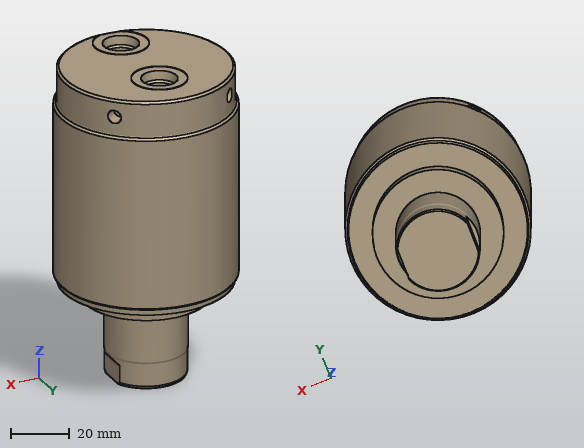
import cadquery as cq
import math

total_height = 114.3
body_radius = 31.6
rim_radius = 30.4
flange_radius = 22.3
shank_radius = 14.4
tip_radius = 14.2
tip_top = 9.3
shank_bottom = 10.1
flange_bottom = 29.3
rim_bottom = 35.0
body_bottom = 37.0
body_top = 101.2
body_chamfer = 0.8
lid_chamfer = 0.8
tip_chamfer_width = 0.5
tip_chamfer_height = 1.0

flat_half_width = 12.7
flat_top = 7.3

port_centers_y = (11.1, -20.6)
spot_face_radius = 9.6
spot_face_depth = 0.2
port_mouth_radius = 6.3
port_seat_radius = 5.8
port_depth = 3.4
port_cone_height = 0.7
drill_radius = 5.0
drill_depth = 13.7

spanner_hole_count = 4
spanner_hole_radius = 2.4
spanner_hole_depth = 5.7
spanner_hole_height = 108.0


def make_body():
    """Revolve the stepped outline about Z."""
    shoulder_radius = body_radius - body_chamfer
    root_radius = shoulder_radius - rim_radius
    root_middle = (1 - math.sqrt(0.5)) * root_radius
    return (
        cq.Workplane("XZ")
        .moveTo(0, 0)
        .lineTo(tip_radius - tip_chamfer_width, 0)
        .lineTo(tip_radius, tip_chamfer_height)
        .lineTo(tip_radius, tip_top)
        .lineTo(shank_radius, shank_bottom)
        .lineTo(shank_radius, flange_bottom)
        .lineTo(flange_radius, flange_bottom)
        .lineTo(flange_radius, rim_bottom)
        .lineTo(rim_radius, rim_bottom)
        .lineTo(rim_radius, body_bottom - root_radius)
        .threePointArc(
            (rim_radius + root_middle, body_bottom - root_middle),
            (shoulder_radius, body_bottom),
        )
        .lineTo(body_radius, body_bottom + body_chamfer)
        .lineTo(body_radius, body_top - body_chamfer)
        .lineTo(shoulder_radius, body_top)
        .threePointArc(
            (rim_radius + root_middle, body_top + root_middle),
            (rim_radius, body_top + root_radius),
        )
        .lineTo(rim_radius, total_height - lid_chamfer)
        .lineTo(rim_radius - lid_chamfer, total_height)
        .lineTo(0, total_height)
        .close()
        .revolve(360, (0, 0, 0), (0, 1, 0))
    )


def make_flat_cutter(side):
    """Block removed beside one flat; its upper face slopes outward at 45 degrees."""
    reach = shank_radius - flat_half_width
    outer = side * shank_radius
    inner = side * flat_half_width
    return (
        cq.Workplane("XZ")
        .polyline([(inner, 0), (outer, 0), (outer, flat_top + reach), (inner, flat_top)])
        .close()
        .extrude(shank_radius, both=True)
    )


def make_port_cutter(center_y):
    """Spot face, tapered bore, conical step and blind drilling, revolved about the port axis."""
    cone_top = -port_depth
    cone_bottom = cone_top - port_cone_height
    return (
        cq.Workplane("XZ")
        .polyline([
            (0, 0),
            (spot_face_radius, 0),
            (spot_face_radius, -spot_face_depth),
            (port_mouth_radius, -spot_face_depth),
            (port_seat_radius, cone_top),
            (drill_radius, cone_bottom),
            (drill_radius, -drill_depth),
            (0, -drill_depth),
        ])
        .close()
        .revolve(360, (0, 0, 0), (0, 1, 0))
        .translate((0, center_y, total_height))
    )


def make_spanner_hole_cutter(angle):
    """Blind radial cylinder entering the lid from outside."""
    return (
        cq.Workplane("YZ", origin=(rim_radius - spanner_hole_depth, 0, spanner_hole_height))
        .circle(spanner_hole_radius)
        .extrude(2 * spanner_hole_depth)
        .rotate((0, 0, 0), (0, 0, 1), angle)
    )


result = make_body()
for side in (-1, 1):
    result = result.cut(make_flat_cutter(side))
for center_y in port_centers_y:
    result = result.cut(make_port_cutter(center_y))
spanner_hole_spacing = 360 / spanner_hole_count
for index in range(spanner_hole_count):
    result = result.cut(make_spanner_hole_cutter((index + 0.5) * spanner_hole_spacing))